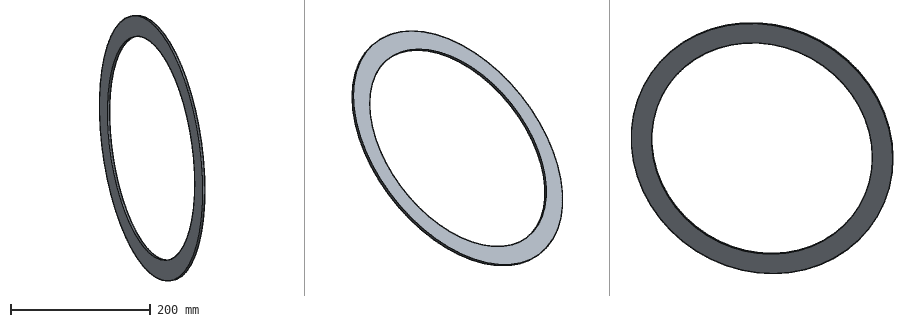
import cadquery as cq

outer_diameter = 385.0
inner_diameter = 325.0
thickness = 4.0

result = (
    cq.Workplane("XZ")
    .circle(outer_diameter / 2)
    .circle(inner_diameter / 2)
    .extrude(thickness / 2, both=True)
)